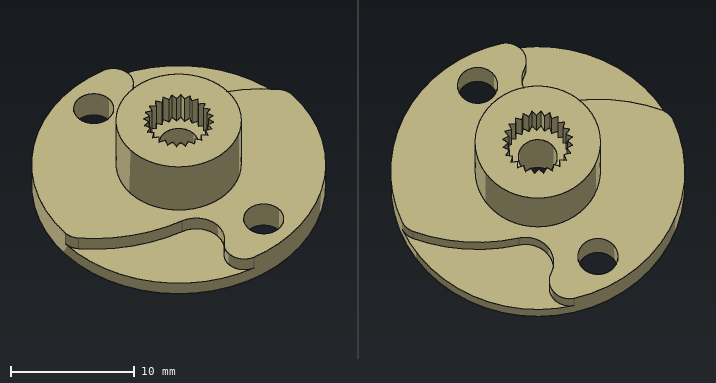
import cadquery as cq
import math

disc_radius = 11.95
base_thickness = 1.3
wing_thickness = 1.3
total_height = 7.8
hub_radius = 5.1
plate_thickness = base_thickness + wing_thickness
hub_height = total_height - plate_thickness

bore_radius = 1.58
side_hole_radius = 1.62
side_hole_offset = 9.17

tooth_count = 24
spline_outer_radius = 2.85
spline_inner_radius = 2.41
spline_depth = 2.7

flank_radius = 14.26
trough_radius = 2.3
trough_center_y = 5.28
crest_radius = 1.65
tip_radius = 1.62
rim_overshoot = 0.0012
relief_margin = 1.2


def circle_crossing(center_a, radius_a, center_b, radius_b):
    """Crossing of two circles that lies to the left of the direction a -> b."""
    dx = center_b[0] - center_a[0]
    dy = center_b[1] - center_a[1]
    distance = math.hypot(dx, dy)
    along = (radius_a**2 - radius_b**2 + distance**2) / (2 * distance)
    across = math.sqrt(radius_a**2 - along**2)
    x = center_a[0] + (along * dx - across * dy) / distance
    y = center_a[1] + (along * dy + across * dx) / distance
    return (x, y)


def point_toward(center, target, radius):
    """Point at the given radius from center, in the direction of target."""
    angle = math.atan2(target[1] - center[1], target[0] - center[0])
    return (center[0] + radius * math.cos(angle), center[1] + radius * math.sin(angle))


def arc_middle(center, start, end, radius):
    """Middle point of the shorter arc from start to end."""
    chord_middle = ((start[0] + end[0]) / 2, (start[1] + end[1]) / 2)
    return point_toward(center, chord_middle, radius)


def wing_edge_arcs():
    """Arcs from the left rim to the top rim, each as (middle, end), and the start point."""
    origin = (0.0, 0.0)
    crest_orbit = disc_radius + rim_overshoot - crest_radius
    tip_orbit = disc_radius + rim_overshoot - tip_radius
    flank_center = (side_hole_offset, 0.0)
    trough_reach = flank_radius + trough_radius
    trough_center = (side_hole_offset - math.sqrt(trough_reach**2 - trough_center_y**2), trough_center_y)
    crest_center = circle_crossing(origin, crest_orbit, trough_center, trough_radius + crest_radius)
    tip_center = circle_crossing(origin, tip_orbit, flank_center, flank_radius - tip_radius)

    rim_start = circle_crossing(crest_center, crest_radius, origin, disc_radius)
    crest_end = point_toward(crest_center, trough_center, crest_radius)
    trough_end = point_toward(trough_center, flank_center, trough_radius)
    flank_end = point_toward(flank_center, tip_center, flank_radius)
    rim_end = circle_crossing(origin, disc_radius, tip_center, tip_radius)

    arcs = [
        (arc_middle(crest_center, rim_start, crest_end, crest_radius), crest_end),
        (arc_middle(trough_center, crest_end, trough_end, trough_radius), trough_end),
        (arc_middle(flank_center, trough_end, flank_end, flank_radius), flank_end),
        (arc_middle(tip_center, flank_end, rim_end, tip_radius), rim_end),
    ]
    return rim_start, arcs


def make_reliefs():
    """The two stretches of rim lowered to the base, leaving the wings between them."""
    origin = (0.0, 0.0)
    start, arcs = wing_edge_arcs()
    end = arcs[-1][1]
    outer_radius = disc_radius + relief_margin
    outer_start = point_toward(origin, start, outer_radius)
    outer_end = point_toward(origin, end, outer_radius)
    outline = cq.Workplane("XY").workplane(offset=base_thickness).moveTo(*start)
    for middle, arc_end in arcs:
        outline = outline.threePointArc(middle, arc_end)
    outline = outline.lineTo(*outer_end)
    outline = outline.threePointArc(arc_middle(origin, outer_end, outer_start, outer_radius), outer_start)
    relief = outline.close().extrude(wing_thickness)
    return relief.union(relief.rotate((0, 0, 0), (0, 0, 1), 180))


def make_spline_socket():
    points = []
    for step in range(2 * tooth_count):
        radius = spline_inner_radius if step % 2 == 0 else spline_outer_radius
        angle = math.pi * step / tooth_count
        points.append((radius * math.cos(angle), radius * math.sin(angle)))
    floor = cq.Workplane("XY").workplane(offset=total_height - spline_depth)
    return floor.polyline(points).close().extrude(spline_depth)


def make_holes():
    bore = cq.Workplane("XY").circle(bore_radius).extrude(total_height)
    side_centers = [(-side_hole_offset, 0), (side_hole_offset, 0)]
    side_holes = cq.Workplane("XY").pushPoints(side_centers).circle(side_hole_radius).extrude(plate_thickness)
    return bore.union(side_holes)


plate = cq.Workplane("XY").circle(disc_radius).extrude(plate_thickness).cut(make_reliefs())
hub = cq.Workplane("XY").workplane(offset=plate_thickness).circle(hub_radius).extrude(hub_height)
result = plate.union(hub).cut(make_spline_socket()).cut(make_holes())